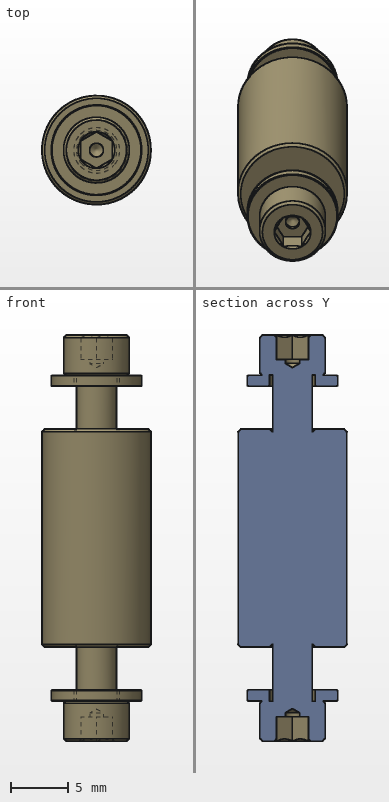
import cadquery as cq
import math

TOTAL_LENGTH = 35.45

BODY_DIAMETER = 9.55
BODY_LENGTH = 19.05
BODY_CHAMFER = 0.25
BODY_HOLE_MOUTH_DIAMETER = 4.0

SHANK_DIAMETER = 3.5
HEAD_DIAMETER = 5.75
HEAD_HEIGHT = 3.5
HEAD_TOP_CHAMFER = 0.25
HEAD_BASE_CHAMFER = 0.18

SOCKET_ACROSS_FLATS = 2.75
SOCKET_SIDES = 6
SOCKET_DEPTH = 2.13

PILOT_DIAMETER = 1.2
PILOT_DEPTH = 0.35
PILOT_POINT_DEPTH = 0.35

WASHER_DIAMETER = 7.9
WASHER_THICKNESS = 1.0
WASHER_HOLE_DIAMETER = 3.97
WASHER_CHAMFER = 0.07

BODY_TOP = BODY_LENGTH / 2
SCREW_TOP = TOTAL_LENGTH / 2
HEAD_BASE = SCREW_TOP - HEAD_HEIGHT
WASHER_BASE = HEAD_BASE - WASHER_THICKNESS
SOCKET_ACROSS_CORNERS = SOCKET_ACROSS_FLATS / math.cos(math.pi / SOCKET_SIDES)


def cylinder(diameter, base, height):
    return cq.Workplane("XY").workplane(offset=base).circle(diameter / 2).extrude(height)


def cone(diameter, base, depth):
    """Cone of the given mouth diameter at `base`, narrowing downwards to a point."""
    return cq.Workplane("XY").add(
        cq.Solid.makeCone(diameter / 2, 0, depth, cq.Vector(0, 0, base), cq.Vector(0, 0, -1))
    )


def make_body():
    body = cylinder(BODY_DIAMETER, -BODY_TOP, BODY_LENGTH)
    return body.faces("<Z or >Z").edges().chamfer(BODY_CHAMFER)


def make_hole_mouth():
    """45-degree ring around the shank where it enters the top of the body."""
    depth = BODY_HOLE_MOUTH_DIAMETER / 2
    mouth = cone(BODY_HOLE_MOUTH_DIAMETER, BODY_TOP, depth)
    return mouth.cut(cylinder(SHANK_DIAMETER, BODY_TOP - depth, depth))


def make_washer():
    washer = cylinder(WASHER_DIAMETER, WASHER_BASE, WASHER_THICKNESS)
    washer = washer.faces("<Z or >Z").edges().chamfer(WASHER_CHAMFER)
    return washer.cut(cylinder(WASHER_HOLE_DIAMETER, WASHER_BASE, WASHER_THICKNESS))


def make_socket():
    floor = SCREW_TOP - SOCKET_DEPTH
    hexagon = (
        cq.Workplane("XY")
        .workplane(offset=floor)
        .transformed(rotate=(0, 0, 90))
        .polygon(SOCKET_SIDES, SOCKET_ACROSS_CORNERS)
        .extrude(SOCKET_DEPTH)
    )
    entry = cone(SOCKET_ACROSS_CORNERS, SCREW_TOP, SOCKET_ACROSS_CORNERS / 2)
    pilot_base = floor - PILOT_DEPTH
    pilot = cylinder(PILOT_DIAMETER, pilot_base, PILOT_DEPTH)
    point = cone(PILOT_DIAMETER, pilot_base, PILOT_POINT_DEPTH)
    return hexagon.union(entry).union(pilot).union(point)


def make_screw():
    head = cylinder(HEAD_DIAMETER, HEAD_BASE, HEAD_HEIGHT)
    head = head.faces(">Z").edges().chamfer(HEAD_TOP_CHAMFER)
    head = head.faces("<Z").edges().chamfer(HEAD_BASE_CHAMFER)
    shank = cylinder(SHANK_DIAMETER, BODY_TOP, HEAD_BASE - BODY_TOP)
    return head.union(shank).cut(make_socket())


top_fastener = make_screw().union(make_washer())
bottom_fastener = top_fastener.mirror("XY")
top_mouth = make_hole_mouth()
body = make_body().cut(top_mouth).cut(top_mouth.mirror("XY"))

result = body.union(top_fastener).union(bottom_fastener)